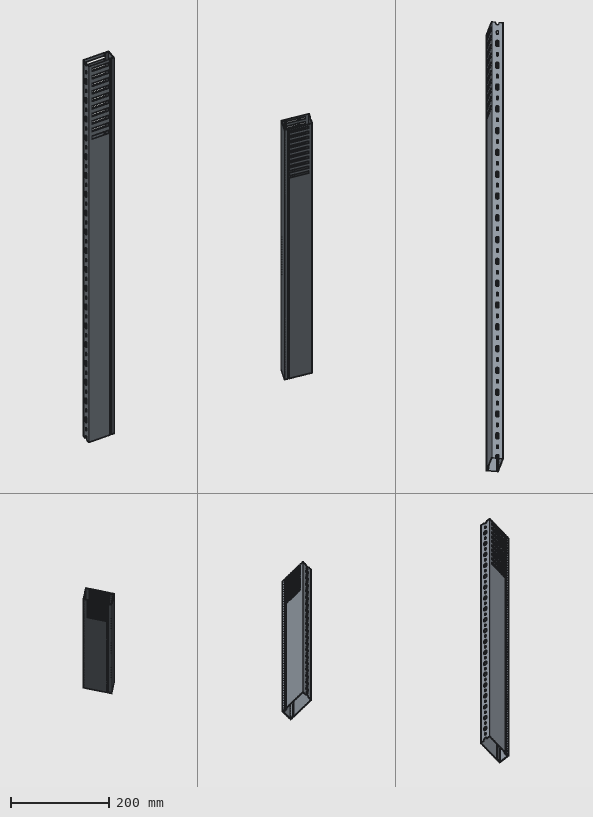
import cadquery as cq

length = 1000.0
width = 25.0
depth = 60.0
front_face = -depth / 2
back_face = depth / 2

channel_wall = 1.5
corner_radius = 1.0
shoulder_drop = 9.5
shoulder = back_face - shoulder_drop

lid_wall = 2.0
lid_skirt_depth = 7.0
lid_inner_face = back_face - lid_wall
neck_width = width - 2 * lid_wall

mount_pitch = 50.0
first_mount_height = 1.5
mount_pairs = round(length / mount_pitch)
large_slot_length = 14.0
large_slot_width = 7.0
small_slot_length = 8.0
small_slot_width = 4.0

wire_slot_count = 10
wire_slot_pitch = 20.0
wire_slot_height = 8.0
wire_slot_top_margin = 8.0
wire_slot_floor_gap = 8.0


def block(x_size, y_min, y_max, z_min=0, z_max=length):
    """Box centred on X between the given Y and Z limits."""
    size = (x_size, y_max - y_min, z_max - z_min)
    box = cq.Workplane("XY").box(*size, centered=(True, False, False))
    return box.translate((0, y_min, z_min))


def make_channel_profile():
    """Plain channel: rounded floor corners, stepped side walls, open toward the lid."""
    lower = block(width, front_face, shoulder).edges("|Z and <Y").fillet(corner_radius)
    neck = block(neck_width, shoulder, lid_inner_face)
    shoulder_underside = shoulder - channel_wall
    lower_cavity = block(width - 2 * channel_wall, front_face + channel_wall, shoulder_underside)
    neck_cavity = block(neck_width - 2 * channel_wall, shoulder_underside, lid_inner_face)
    return lower.union(neck).cut(lower_cavity).cut(neck_cavity)


def mounting_slots(slot_length, slot_width, heights):
    """Cutters for upright round-ended slots through the floor."""
    return (
        cq.Workplane("XZ", origin=(0, front_face + channel_wall, 0))
        .pushPoints([(0, height) for height in heights])
        .slot2D(slot_length, slot_width, 90)
        .extrude(channel_wall)
    )


def wiring_slot(index):
    """Cutter for one rectangular slot through both side walls, counted from the top end."""
    z_max = length - wire_slot_top_margin - index * wire_slot_pitch
    return block(width, front_face + wire_slot_floor_gap, shoulder, z_max - wire_slot_height, z_max)


def make_channel():
    body = make_channel_profile()

    large_heights = [first_mount_height + i * mount_pitch for i in range(mount_pairs + 1)]
    small_heights = [height + mount_pitch / 2 for height in large_heights[:-1]]
    body = body.cut(mounting_slots(large_slot_length, large_slot_width, large_heights))
    body = body.cut(mounting_slots(small_slot_length, small_slot_width, small_heights))

    for index in range(wire_slot_count):
        body = body.cut(wiring_slot(index))
    return body


def make_lid():
    skirt_end = back_face - lid_skirt_depth
    return block(width, skirt_end, back_face).cut(block(neck_width, skirt_end, lid_inner_face))


channel = make_channel()
lid = make_lid()
result = cq.Compound.makeCompound([channel.val(), lid.val()])